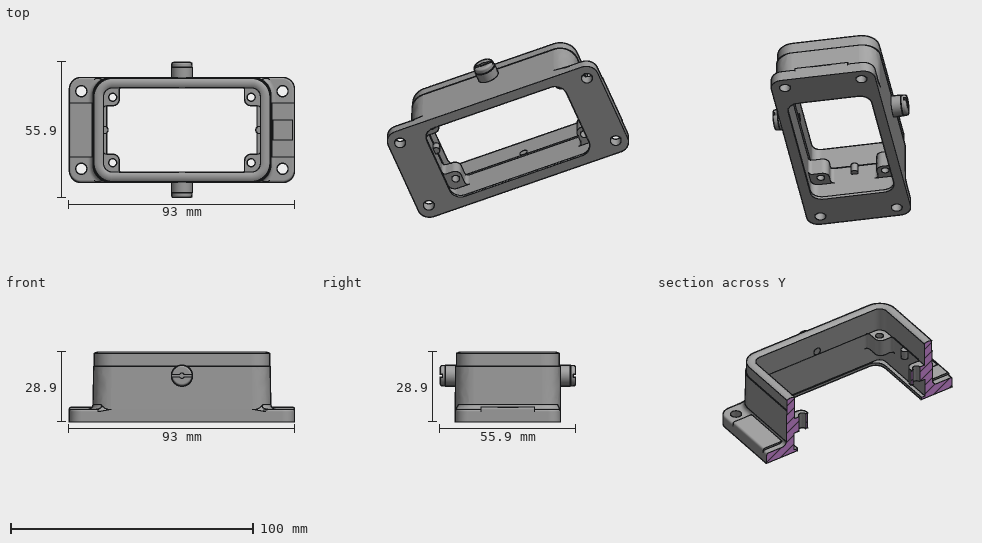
import cadquery as cq
import math

FLANGE_LENGTH = 93.01
FLANGE_WIDTH = 43.5
FLANGE_TOP = 5.25
FLANGE_CORNER_RADIUS = 5.0
FLANGE_EDGE_RADIUS = 1.0
MOUNT_HOLE_DIAMETER = 4.5
MOUNT_HOLE_X = 41.5
MOUNT_HOLE_Y = 16.0

PAD_WIDTH = 22.1
PAD_HEIGHT = 0.9
MARKING_RECESS_WIDTH = 8.1
MARKING_RECESS_DEPTH = 0.1
MARKING_RECESS_INNER_X = 37.5

BODY_TOP = 23.15
BODY_BASE_LENGTH = 73.5
BODY_TOP_LENGTH = 72.9
BODY_TOP_WIDTH = 43.4
BODY_CORNER_RADIUS = 7.55
BODY_TOP_CHAMFER = 0.2
BASE_FILLET_RADIUS = 2.0

RUNOUT_LENGTH = 5.1
RUNOUT_DROP = 0.95
RUNOUT_INSET = 1.35
RUNOUT_TOP_LENGTH = 4.3

TOTAL_HEIGHT = 28.9
RIM_OUTER_LENGTH = 72.5
RIM_OUTER_WIDTH = 42.5
RIM_INNER_LENGTH = 64.7
RIM_CORNER_RADIUS = 7.5
RIM_DOME_HEIGHT = 0.6
RIM_THICKNESS = (RIM_OUTER_LENGTH - RIM_INNER_LENGTH) / 2
RIM_INNER_WIDTH = RIM_OUTER_WIDTH - 2 * RIM_THICKNESS
RIM_INNER_RADIUS = RIM_CORNER_RADIUS - RIM_THICKNESS

CAVITY_LENGTH = 65.4
CAVITY_WIDTH = 36.0
CAVITY_RADIUS = 3.0
CAVITY_TOP = 17.4
FLOOR_THICKNESS = 1.35
OPENING_LENGTH = 61.9
OPENING_WIDTH = 35.0
OPENING_RADIUS = 4.9

BOSS_HEIGHT = 7.7
BOSS_INNER_X = 25.8
BOSS_INNER_Y = 9.95
BOSS_RADIUS = 2.75
BOSS_FLARE_RADIUS = 1.5
BOSS_HOLE_DIAMETER = 3.2
BOSS_HOLE_X = 28.55
BOSS_HOLE_Y = 13.5

RIB_DIAMETER = 3.0
RIB_X = 31.9
RIB_BOTTOM = 13.2
RIB_HEIGHT = 4.0

STUD_Z = 19.1
STUD_END_Y = 27.945
STUD_DIAMETER = 8.8
STUD_HEAD_DIAMETER = 8.5
STUD_HEAD_LENGTH = 2.0
STUD_HEAD_FILLET = 0.9
STUD_COLLAR_CHAMFER_LENGTH = 0.25
STUD_COLLAR_CHAMFER_DEPTH = (STUD_DIAMETER - STUD_HEAD_DIAMETER) / 2
STUD_SLOT_WIDTH = 1.2
STUD_SLOT_DEPTH = 0.95
STUD_CENTER_DIAMETER = 2.2
STUD_SHANK_DIAMETER = 3.2
STUD_SHANK_PROTRUSION = 0.05

SIDES = (-1, 1)


def rounded_block(length, width, radius, bottom, top):
    block = cq.Workplane("XY").workplane(offset=bottom).rect(length, width).extrude(top - bottom)
    return block.edges("|Z").fillet(radius)


def rounded_outline(length, width, radius):
    """Closed rounded rectangle starting at the middle of its +X side."""
    x = length / 2
    y = width / 2
    bend = radius * (1 - math.sqrt(0.5))
    return (
        cq.Workplane("XY")
        .moveTo(x, 0)
        .lineTo(x, y - radius)
        .threePointArc((x - bend, y - bend), (x - radius, y))
        .lineTo(radius - x, y)
        .threePointArc((bend - x, y - bend), (-x, y - radius))
        .lineTo(-x, radius - y)
        .threePointArc((bend - x, bend - y), (radius - x, -y))
        .lineTo(x - radius, -y)
        .threePointArc((x - bend, bend - y), (x, radius - y))
        .close()
    )


def make_flange():
    flange = rounded_block(FLANGE_LENGTH, FLANGE_WIDTH, FLANGE_CORNER_RADIUS, 0, FLANGE_TOP)
    return flange.faces(">Z").edges().fillet(FLANGE_EDGE_RADIUS)


def loft_between(lower, lower_z, upper, upper_z):
    """Ruled solid between two outlines given as (length, width, corner radius)."""
    lower_wire = rounded_outline(*lower).val().translate(cq.Vector(0, 0, lower_z))
    upper_wire = rounded_outline(*upper).val().translate(cq.Vector(0, 0, upper_z))
    return cq.Workplane(cq.Solid.makeLoft([lower_wire, upper_wire], True))


def make_body():
    """Straight foot inside the flange, then drafted walls with a small chamfer below the rim."""
    base = (BODY_BASE_LENGTH, FLANGE_WIDTH, BODY_CORNER_RADIUS)
    top = (BODY_TOP_LENGTH, BODY_TOP_WIDTH, BODY_CORNER_RADIUS)
    inset_top = (
        BODY_TOP_LENGTH - 2 * BODY_TOP_CHAMFER,
        BODY_TOP_WIDTH - 2 * BODY_TOP_CHAMFER,
        BODY_CORNER_RADIUS - BODY_TOP_CHAMFER,
    )
    chamfer_bottom = BODY_TOP - BODY_TOP_CHAMFER
    foot = rounded_block(*base, 0, FLANGE_TOP)
    walls = loft_between(base, FLANGE_TOP, top, chamfer_bottom)
    chamfer = loft_between(top, chamfer_bottom, inset_top, BODY_TOP)
    return foot.union(walls).union(chamfer)


def make_runout_cutter(start_x):
    """Block above the sloping plane on which the base fillet runs out into the +Y flange side."""
    start = cq.Vector(start_x, FLANGE_WIDTH / 2, FLANGE_TOP)
    along_side = cq.Vector(RUNOUT_LENGTH, 0, -RUNOUT_DROP)
    up_wall = cq.Vector(RUNOUT_TOP_LENGTH, -RUNOUT_INSET, BASE_FILLET_RADIUS)
    outward = up_wall.cross(along_side)
    if outward.y < 0:
        outward = -outward
    plane = cq.Plane(origin=start, xDir=along_side, normal=outward)
    return cq.Workplane(plane).rect(FLANGE_LENGTH, FLANGE_LENGTH).extrude(FLANGE_WIDTH / 2)


def make_base_fillet():
    """Concave fillets between flange and body at both ends, running out at the long sides."""
    wall_x = BODY_BASE_LENGTH / 2
    skirt_bottom = FLANGE_TOP - FLANGE_EDGE_RADIUS
    embed = 1.0
    bend = BASE_FILLET_RADIUS * (1 - math.sqrt(0.5))
    ring = (
        cq.Workplane("XZ")
        .moveTo(wall_x - embed, skirt_bottom)
        .lineTo(wall_x + BASE_FILLET_RADIUS, skirt_bottom)
        .lineTo(wall_x + BASE_FILLET_RADIUS, FLANGE_TOP)
        .threePointArc(
            (wall_x + bend, FLANGE_TOP + bend),
            (wall_x, FLANGE_TOP + BASE_FILLET_RADIUS),
        )
        .lineTo(wall_x - embed, FLANGE_TOP + BASE_FILLET_RADIUS)
        .close()
        .sweep(rounded_outline(BODY_BASE_LENGTH, FLANGE_WIDTH, BODY_CORNER_RADIUS))
    )
    start_x = wall_x - BODY_CORNER_RADIUS
    end_space = cq.Workplane("XY").box(
        FLANGE_LENGTH, FLANGE_WIDTH, 2 * TOTAL_HEIGHT, centered=(False, True, True)
    )
    runout = make_runout_cutter(start_x)
    end_fillet = ring.intersect(end_space.translate((start_x, 0, 0)))
    end_fillet = end_fillet.cut(runout).cut(runout.mirror("XZ"))
    return end_fillet.union(end_fillet.mirror("YZ"))


def make_rim():
    outer_x = RIM_OUTER_LENGTH / 2
    inner_x = RIM_INNER_LENGTH / 2
    shoulder = TOTAL_HEIGHT - RIM_DOME_HEIGHT
    return (
        cq.Workplane("XZ")
        .moveTo(inner_x, CAVITY_TOP)
        .lineTo(outer_x, CAVITY_TOP)
        .lineTo(outer_x, shoulder)
        .threePointArc(((outer_x + inner_x) / 2, TOTAL_HEIGHT), (inner_x, shoulder))
        .close()
        .sweep(rounded_outline(RIM_OUTER_LENGTH, RIM_OUTER_WIDTH, RIM_CORNER_RADIUS))
    )


def make_pad(side):
    """Raised end pad whose outer edge is rounded like the flange edge."""
    inner_x = BODY_TOP_LENGTH / 2
    length = FLANGE_LENGTH / 2 - inner_x
    pad = cq.Workplane("XY").box(length, PAD_WIDTH, FLANGE_TOP + PAD_HEIGHT, centered=(False, True, False))
    pad = pad.faces(">X").edges(">Z").fillet(FLANGE_EDGE_RADIUS).translate((inner_x, 0, 0))
    return pad if side > 0 else pad.mirror("YZ")


def make_marking_recess():
    length = FLANGE_LENGTH / 2 - FLANGE_EDGE_RADIUS - MARKING_RECESS_INNER_X
    recess = cq.Workplane("XY").box(
        length, MARKING_RECESS_WIDTH, MARKING_RECESS_DEPTH, centered=(False, True, False)
    )
    recess_floor = FLANGE_TOP + PAD_HEIGHT - MARKING_RECESS_DEPTH
    return recess.translate((MARKING_RECESS_INNER_X, 0, recess_floor))


def make_cavity():
    opening = rounded_block(OPENING_LENGTH, OPENING_WIDTH, OPENING_RADIUS, 0, FLOOR_THICKNESS)
    lower = rounded_block(CAVITY_LENGTH, CAVITY_WIDTH, CAVITY_RADIUS, FLOOR_THICKNESS, CAVITY_TOP)
    upper = rounded_block(RIM_INNER_LENGTH, RIM_INNER_WIDTH, RIM_INNER_RADIUS, CAVITY_TOP, BODY_TOP)
    return opening.union(lower).union(upper)


def make_boss():
    """Boss in the +X +Y cavity corner, flared where it meets the two walls."""
    wall_x = CAVITY_LENGTH / 2
    wall_y = CAVITY_WIDTH / 2
    embed = 0.5
    flare_bend = BOSS_FLARE_RADIUS * (1 - math.sqrt(0.5))
    corner_bend = BOSS_RADIUS * (1 - math.sqrt(0.5))
    boss = (
        cq.Workplane("XY")
        .workplane(offset=CAVITY_TOP - BOSS_HEIGHT)
        .moveTo(wall_x + embed, wall_y + embed)
        .lineTo(BOSS_INNER_X - BOSS_FLARE_RADIUS, wall_y + embed)
        .lineTo(BOSS_INNER_X - BOSS_FLARE_RADIUS, wall_y)
        .threePointArc(
            (BOSS_INNER_X - flare_bend, wall_y - flare_bend),
            (BOSS_INNER_X, wall_y - BOSS_FLARE_RADIUS),
        )
        .lineTo(BOSS_INNER_X, BOSS_INNER_Y + BOSS_RADIUS)
        .threePointArc(
            (BOSS_INNER_X + corner_bend, BOSS_INNER_Y + corner_bend),
            (BOSS_INNER_X + BOSS_RADIUS, BOSS_INNER_Y),
        )
        .lineTo(wall_x - BOSS_FLARE_RADIUS, BOSS_INNER_Y)
        .threePointArc(
            (wall_x - flare_bend, BOSS_INNER_Y - flare_bend),
            (wall_x, BOSS_INNER_Y - BOSS_FLARE_RADIUS),
        )
        .lineTo(wall_x + embed, BOSS_INNER_Y - BOSS_FLARE_RADIUS)
        .close()
        .extrude(BOSS_HEIGHT)
    )
    hole = (
        cq.Workplane("XY")
        .center(BOSS_HOLE_X, BOSS_HOLE_Y)
        .circle(BOSS_HOLE_DIAMETER / 2)
        .extrude(TOTAL_HEIGHT)
    )
    return boss.cut(hole)


def make_rib(side):
    rib = cq.Workplane("XY").workplane(offset=RIB_BOTTOM).center(side * RIB_X, 0)
    return rib.circle(RIB_DIAMETER / 2).extrude(RIB_HEIGHT)


def make_stud():
    """Stud on the -Y wall: collar, rounded slotted head, and shank through the wall."""
    collar_end = STUD_END_Y - STUD_HEAD_LENGTH
    collar_start = BODY_TOP_WIDTH / 2 - BODY_TOP_CHAMFER
    shank_end = RIM_INNER_WIDTH / 2 - STUD_SHANK_PROTRUSION

    def disc(diameter, near_y, far_y):
        plane = cq.Workplane("XZ", origin=(0, -near_y, STUD_Z))
        return plane.circle(diameter / 2).extrude(far_y - near_y)

    head = disc(STUD_HEAD_DIAMETER, collar_end, STUD_END_Y).faces("<Y").edges().fillet(STUD_HEAD_FILLET)
    slot_middle = STUD_END_Y - STUD_SLOT_DEPTH / 2
    slot = cq.Workplane("XY").box(STUD_DIAMETER, STUD_SLOT_DEPTH, STUD_SLOT_WIDTH)
    head = head.cut(slot.translate((0, -slot_middle, STUD_Z)))
    head = head.cut(disc(STUD_CENTER_DIAMETER, STUD_END_Y - STUD_SLOT_DEPTH, STUD_END_Y))
    collar = disc(STUD_DIAMETER, collar_start, collar_end)
    collar = collar.faces("<Y").chamfer(STUD_COLLAR_CHAMFER_LENGTH, STUD_COLLAR_CHAMFER_DEPTH)
    shank = disc(STUD_SHANK_DIAMETER, shank_end, collar_start)
    return collar.union(head).union(shank)


def make_housing():
    housing = make_flange().union(make_body()).union(make_base_fillet())
    for side in SIDES:
        housing = housing.union(make_pad(side))
    housing = housing.cut(make_cavity()).union(make_rim()).cut(make_marking_recess())
    mount_holes = (
        cq.Workplane("XY")
        .rect(2 * MOUNT_HOLE_X, 2 * MOUNT_HOLE_Y, forConstruction=True)
        .vertices()
        .circle(MOUNT_HOLE_DIAMETER / 2)
        .extrude(TOTAL_HEIGHT)
    )
    housing = housing.cut(mount_holes)

    boss_right = make_boss()
    boss_left = boss_right.mirror("YZ")
    for boss in (boss_right, boss_left):
        housing = housing.union(boss).union(boss.mirror("XZ"))
    for side in SIDES:
        housing = housing.union(make_rib(side))
    stud = make_stud()
    return housing.union(stud).union(stud.mirror("XZ"))


result = make_housing()